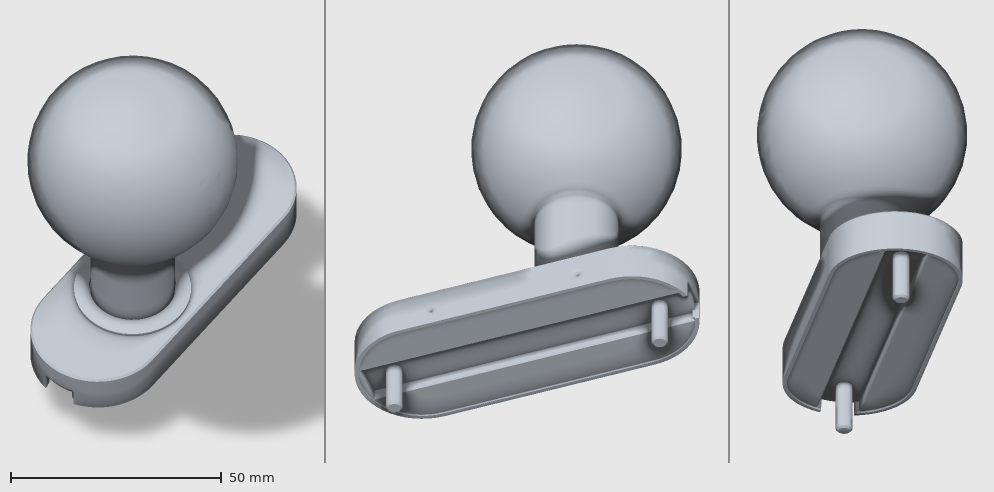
import cadquery as cq
import math

cover_width = 32.0
cover_length = 85.0
cover_height = 10.3
cover_edge_chamfer = 0.5
cover_wall = 1.0
cover_roof = 1.5

notch_width = 8.2
cover_notch_height = 5.0
core_notch_height = 3.0

core_width = cover_width - 2 * cover_wall
core_length = cover_length - 2 * cover_wall
core_bottom_z = 0.5
core_top_z = cover_height - cover_roof

pocket_end_wall = 1.2
pocket_length = core_length - 2 * pocket_end_wall
pocket_width = 10.0
pocket_edge_chamfer = 0.3

pin_diameter = 4.0
pin_end_distance = 9.0
pin_projection = 9.0
pin_top_z = 8.0
pin_tip_chamfer = 0.5
pin_y = cover_length / 2 - pin_end_distance

screw_diameter = 3.0
screw_length = 5.0
screw_end_distance = 24.0
screw_z = 4.05
screw_dish_depth = 0.22
screw_mark_diameter = 1.2
screw_mark_depth = 0.35
screw_y = cover_length / 2 - screw_end_distance

collar_diameter = 27.8
collar_top_diameter = 23.2
collar_bore_diameter = 20.6
collar_rim_height = 0.8
collar_height = 1.7

ball_diameter = 50.0
stem_diameter = 20.0
stem_y = -12.5
overall_height = 93.68
ball_top_z = overall_height - pin_projection
ball_center_z = ball_top_z - ball_diameter / 2
neck_fillet = 1.5


def make_pin(y):
    """Straight pin with a chamfered lower tip."""
    length = pin_projection + pin_top_z
    pin = cq.Workplane("XY").circle(pin_diameter / 2).extrude(length)
    pin = pin.faces("<Z").chamfer(pin_tip_chamfer)
    return pin.translate((0, y, -pin_projection))


def make_set_screw(y):
    """Headless screw along X, dished at its outer end with a small conical center mark."""
    radius = screw_diameter / 2
    profile = (
        cq.Workplane("XY")
        .moveTo(0, screw_dish_depth + screw_mark_depth)
        .lineTo(screw_mark_diameter / 2, screw_dish_depth)
        .lineTo(radius, 0)
        .lineTo(radius, screw_length)
        .lineTo(0, screw_length)
        .close()
    )
    screw = profile.revolve(360, (0, 0), (0, 1))
    screw = screw.rotate((0, 0, 0), (0, 0, 1), -90)
    return screw.translate((-cover_width / 2, y, screw_z))


def make_bar(length, width, bottom_z, top_z):
    """Upright bar with round ends, its length along Y."""
    return cq.Workplane("XY", origin=(0, 0, bottom_z)).slot2D(length, width, 90).extrude(top_z - bottom_z)


def make_pin_hole(y):
    """Cutter for the blind hole that holds a pin."""
    return cq.Workplane("XY").center(0, y).circle(pin_diameter / 2).extrude(pin_top_z)


def make_screw_hole(y):
    """Cutter for the hole that holds a set screw."""
    flank = cq.Workplane("YZ", origin=(-cover_width / 2, y, screw_z))
    return flank.circle(screw_diameter / 2).extrude(screw_length)


def make_notch(height):
    """Cutter for the end notch, from the -Y end to the pin axis."""
    depth = pin_end_distance
    notch = cq.Workplane("XY").box(notch_width, depth, height, centered=(True, False, False))
    return notch.translate((0, -cover_length / 2, 0))


def make_pocket():
    """Cutter for the underside pocket, flared at its lower edge."""
    mouth = cq.Workplane("XY", origin=(0, 0, core_bottom_z))
    depth = core_notch_height - core_bottom_z
    pocket = mouth.rect(pocket_width, pocket_length).extrude(depth)
    flare = mouth.rect(
        pocket_width + 2 * pocket_edge_chamfer, pocket_length + 2 * pocket_edge_chamfer
    ).extrude(pocket_edge_chamfer, taper=45)
    return pocket.union(flare)


def make_cover():
    """Shell with the end notch and the screw holes in its flank."""
    cover = make_bar(cover_length, cover_width, 0, cover_height)
    cover = cover.faces(">Z").chamfer(cover_edge_chamfer)
    cover = cover.cut(make_bar(core_length, core_width, 0, core_top_z))
    cover = cover.cut(make_notch(cover_notch_height))
    for side in (-1, 1):
        cover = cover.cut(make_screw_hole(side * screw_y))
    return cover


def make_core():
    """Bar inside the cover, with its notch, its pocket and the pin and screw holes."""
    core = make_bar(core_length, core_width, core_bottom_z, core_top_z)
    core = core.cut(make_notch(core_notch_height)).cut(make_pocket())
    for side in (-1, 1):
        core = core.cut(make_pin_hole(side * pin_y))
        core = core.cut(make_screw_hole(side * screw_y))
    return core


def make_collar():
    """Ring with a short straight rim and a conical top edge."""
    bore_radius = collar_bore_diameter / 2
    profile = (
        cq.Workplane("XZ")
        .moveTo(bore_radius, 0)
        .lineTo(collar_diameter / 2, 0)
        .lineTo(collar_diameter / 2, collar_rim_height)
        .lineTo(collar_top_diameter / 2, collar_height)
        .lineTo(bore_radius, collar_height)
        .close()
    )
    collar = profile.revolve(360, (0, 0), (0, 1))
    return collar.translate((0, stem_y, cover_height))


def make_ball_stem():
    """Ball on a cylindrical stem, revolved as one, with a concave fillet at the neck."""
    ball_radius = ball_diameter / 2
    stem_radius = stem_diameter / 2
    fillet_center_r = stem_radius + neck_fillet
    fillet_drop = math.sqrt((ball_radius + neck_fillet) ** 2 - fillet_center_r ** 2)
    fillet_z = ball_center_z - fillet_drop
    to_ball = ball_radius / (ball_radius + neck_fillet)
    ball_touch = (fillet_center_r * to_ball, ball_center_z - fillet_drop * to_ball)
    touch_angle = math.atan2(fillet_drop, -fillet_center_r)
    mid_angle = (touch_angle + math.pi) / 2
    fillet_mid = (
        fillet_center_r + neck_fillet * math.cos(mid_angle),
        fillet_z + neck_fillet * math.sin(mid_angle),
    )
    profile = (
        cq.Workplane("XZ")
        .moveTo(0, cover_height)
        .lineTo(stem_radius, cover_height)
        .lineTo(stem_radius, fillet_z)
        .threePointArc(fillet_mid, ball_touch)
        .threePointArc((ball_radius, ball_center_z), (0, ball_top_z))
        .close()
    )
    return profile.revolve(360, (0, 0), (0, 1)).translate((0, stem_y, 0))


cover = make_cover()
core = make_core()
collar = make_collar()
ball_stem = make_ball_stem()
pins = [make_pin(side * pin_y) for side in (-1, 1)]
set_screws = [make_set_screw(side * screw_y) for side in (-1, 1)]

bodies = [cover, core, collar, ball_stem, *pins, *set_screws]
result = cq.Compound.makeCompound([body.val() for body in bodies])